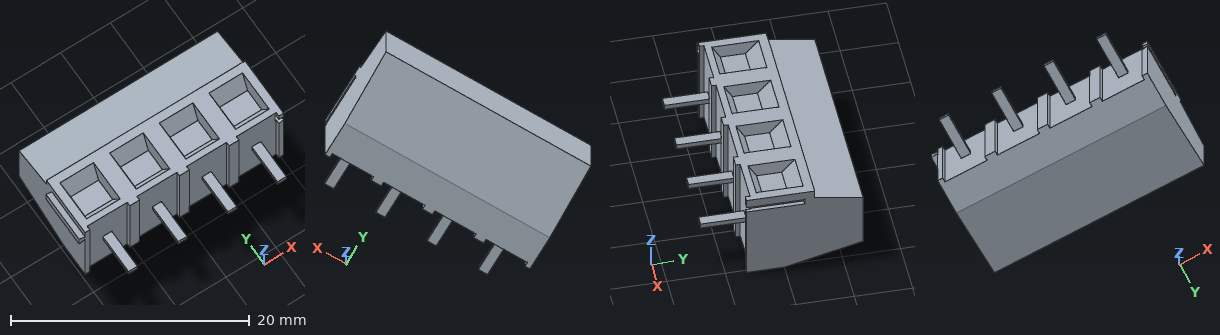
import cadquery as cq


OVERALL_LENGTH = 20.6
RAIL_REACH = 0.6
HOUSING_LENGTH = OVERALL_LENGTH - RAIL_REACH
HOUSING_DEPTH = 10.0
HOUSING_HEIGHT = 8.2
POLE_COUNT = 4
PITCH = HOUSING_LENGTH / POLE_COUNT

TOP_DEPTH = 5.83
TOP_STEP = 0.75
TOP_SLOPE_DROP = 0.75
BASE_DEPTH = 3.28
BASE_SLOPE_RISE = 1.7

RECESS_DEPTH = 0.4
RIB_WIDTH = 0.99
RECESS_WIDTH = PITCH - RIB_WIDTH

POCKET_DEPTH = 0.99
POCKET_WIDTH = 3.38
POCKET_NEAR = 0.99
POCKET_FAR = 5.0
FLOOR_WIDTH = 2.8
FLOOR_NEAR = 1.67
FLOOR_FAR = 3.81

RAIL_LENGTH = 5.0
RAIL_CENTER_Z = HOUSING_HEIGHT - 1.05
RAIL_ROOT_HEIGHT = 0.5
RAIL_OUTER_HEIGHT = 0.9

PIN_WIDTH = 0.9
PIN_THICKNESS = 0.47
PIN_REACH = 3.5
PIN_CENTER_Z = HOUSING_HEIGHT / 2

POLE_CENTERS = [(pole + 0.5) * PITCH for pole in range(POLE_COUNT)]


def make_block():
    """Extrude the stepped and tapered side profile along the row."""
    shoulder_z = HOUSING_HEIGHT - TOP_STEP
    return (
        cq.Workplane("YZ")
        .polyline([
            (0, 0),
            (BASE_DEPTH, 0),
            (HOUSING_DEPTH, BASE_SLOPE_RISE),
            (HOUSING_DEPTH, shoulder_z - TOP_SLOPE_DROP),
            (TOP_DEPTH, shoulder_z),
            (TOP_DEPTH, HOUSING_HEIGHT),
            (0, HOUSING_HEIGHT),
        ])
        .close()
        .extrude(HOUSING_LENGTH)
    )


def make_dovetail(root_x):
    """Dovetail bar that widens towards -X from its root at root_x."""
    half_root = RAIL_ROOT_HEIGHT / 2
    half_outer = RAIL_OUTER_HEIGHT / 2
    outer_x = root_x - RAIL_REACH
    return (
        cq.Workplane("XZ")
        .polyline([
            (root_x, RAIL_CENTER_Z - half_root),
            (root_x, RAIL_CENTER_Z + half_root),
            (outer_x, RAIL_CENTER_Z + half_outer),
            (outer_x, RAIL_CENTER_Z - half_outer),
        ])
        .close()
        .extrude(-RAIL_LENGTH)
    )


def make_recess(center_x):
    """Full-height slab that is cut away between two standoff ribs."""
    return (
        cq.Workplane("XY")
        .center(center_x, RECESS_DEPTH / 2)
        .rect(RECESS_WIDTH, RECESS_DEPTH)
        .extrude(HOUSING_HEIGHT)
    )


def make_pocket(center_x):
    """Four-sided funnel that narrows from the top face to a flat floor."""
    mouth_center_y = (POCKET_NEAR + POCKET_FAR) / 2
    floor_center_y = (FLOOR_NEAR + FLOOR_FAR) / 2
    return (
        cq.Workplane("XY", origin=(center_x, mouth_center_y, HOUSING_HEIGHT))
        .rect(POCKET_WIDTH, POCKET_FAR - POCKET_NEAR)
        .workplane(offset=-POCKET_DEPTH)
        .center(0, floor_center_y - mouth_center_y)
        .rect(FLOOR_WIDTH, FLOOR_FAR - FLOOR_NEAR)
        .loft(ruled=True)
    )


def make_housing():
    """Block with the coupling rail and groove, the recesses and the pockets."""
    body = make_block().union(make_dovetail(0))
    body = body.cut(make_dovetail(HOUSING_LENGTH))
    for center_x in POLE_CENTERS:
        body = body.cut(make_recess(center_x))
        body = body.cut(make_pocket(center_x))
    return body


def make_pin(center_x):
    """Flat contact pin that stands on the recess face of its pole."""
    return (
        cq.Workplane("XZ", origin=(center_x, RECESS_DEPTH, PIN_CENTER_Z))
        .rect(PIN_WIDTH, PIN_THICKNESS)
        .extrude(RECESS_DEPTH + PIN_REACH)
    )


housing = make_housing()
pins = [make_pin(center_x) for center_x in POLE_CENTERS]

result = cq.Compound.makeCompound([housing.val(), *[pin.val() for pin in pins]])